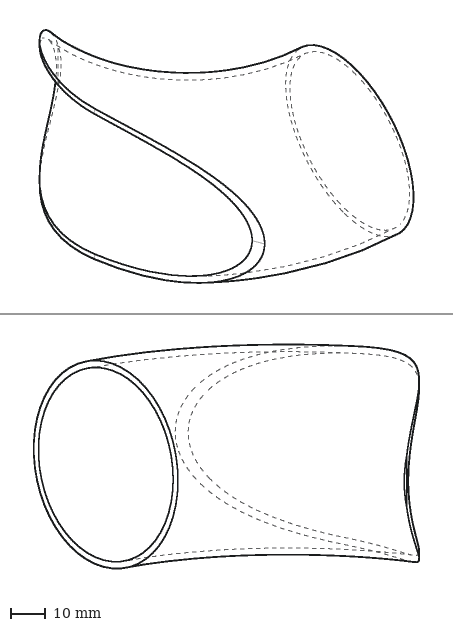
import cadquery as cq


outer_reach = 106.2
tube_diameter = 60.3
wall = 2.0
end_land = 1.1

outer_radius = tube_diameter / 2
inner_radius = outer_radius - wall
bend_radius = outer_reach - outer_radius
throat_radius = bend_radius - outer_radius
bend_angle = 90


def bend(radius):
    """Solid quarter bend from the X = 0 plane to the Y = 0 plane."""
    return (
        cq.Workplane("YZ")
        .center(-bend_radius, 0)
        .circle(radius)
        .revolve(bend_angle, (bend_radius, 0), (bend_radius, 1))
    )


def saddle_curve(x):
    """Y where the bend meets an equal pipe along X, centred at Y = -bend_radius.

    For equal diameters this meeting line, projected along Z, is a parabola.
    """
    return x**2 / (4 * bend_radius) - bend_radius


def saddle_cutter():
    """Prism along Z that trims the lower end of the bend to the saddle line."""
    margin = 5.3
    arc_end_x = throat_radius
    far_x = outer_reach + margin
    low_y = -outer_reach - margin
    tip = (0, -throat_radius - end_land)
    arc_end = (arc_end_x, saddle_curve(arc_end_x))
    far_end = (far_x, saddle_curve(far_x))
    tangent_crossing = (
        (arc_end_x + far_x) / 2,
        arc_end_x * far_x / (4 * bend_radius) - bend_radius,
    )
    return (
        cq.Workplane("XY")
        .moveTo(*far_end)
        .bezier([far_end, tangent_crossing, arc_end])
        .tangentArcPoint(tip, relative=False)
        .lineTo(-margin, tip[1])
        .lineTo(-margin, low_y)
        .lineTo(far_x, low_y)
        .close()
        .extrude(tube_diameter, both=True)
    )


result = bend(outer_radius).cut(bend(inner_radius)).cut(saddle_cutter())